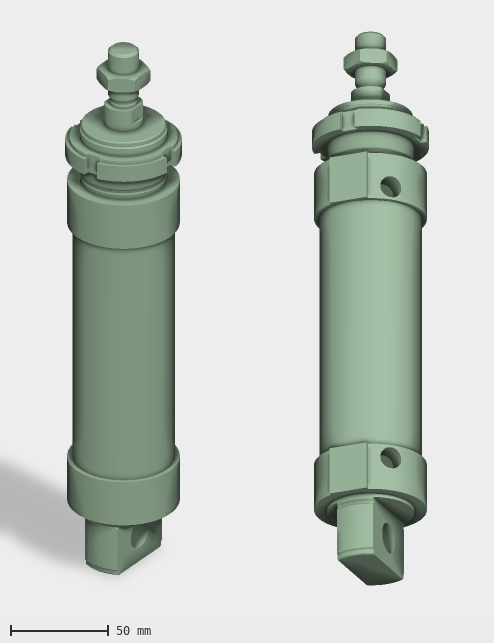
import cadquery as cq
import math

TOTAL_HEIGHT = 295.2
QUARTER_TURN = 90

TUBE_DIA = 52.5
COLLAR_DIA = 58.0
COLLAR_LENGTH = 25.0
LOWER_COLLAR_BASE = 33.0
UPPER_COLLAR_TOP = 219.0
NECK_DIA = 45.0
NECK_TOP = 251.8
NECK_RELIEF_DIA = 43.5
NECK_RELIEF_LENGTH = 2.7
NECK_BEVEL = 0.5
GROOVE_OFFSET = 2.7
GROOVE_FLOOR_WIDTH = 1.5

PAD_WIDTH = 20.7
PAD_REACH = COLLAR_DIA / 2

PORT_DIA = 11.5
PORT_DEPTH = 11.8
PORT_EDGE_DISTANCE = 7.0
PORT_ANGLE = 135

TONGUE_THICKNESS = 20.0
TONGUE_TOP = LOWER_COLLAR_BASE - 1.8
TONGUE_HOLE_DIA = 16.0
TONGUE_HOLE_HEIGHT = 16.0

ROD_DIA = 20.0
ROD_TOP = 263.5
ROD_FLAT_BASE = 255.5
ROD_FLAT_WIDTH = 17.0
THREAD_DIA = 16.0
THREAD_TIP_DIA = 13.0
THREAD_CHAMFER_HEIGHT = 1.5
THREAD_BASE = 268.5
UNDERCUT_DIA = 14.0
UNDERCUT_BASE = 265.7
UNDERCUT_TOP = 266.5
SHANK_DIA = 14.5
SHANK_TOP = 265.0

HEX_ACROSS_FLATS = 24.0
HEX_BASE = 275.7
HEX_HEIGHT = 8.0
HEX_FACE_DIA = 24.5
HEX_CHAMFER_ANGLE = 30

RING_DIA = 60.0
RING_BASE = 233.5
RING_HEIGHT = 10.5
RING_STEP_DIA = 55.5
RING_STEP_HEIGHT = 1.8
SLOT_WIDTH = 8.0
SLOT_FLOOR_RADIUS = 26.3


def cylinder(diameter, base, top):
    """Solid cylinder on the Z axis between two heights."""
    return cq.Workplane("XY").workplane(offset=base).circle(diameter / 2).extrude(top - base)


def turned(profile):
    """Solid of revolution about Z from (diameter, height) points that run from end to end."""
    first_height = profile[0][1]
    last_height = profile[-1][1]
    points = [(0, first_height)] + [(diameter / 2, z) for diameter, z in profile] + [(0, last_height)]
    return cq.Workplane("XZ").polyline(points).close().revolve(360, (0, 0, 0), (0, 1, 0))


def collar(base):
    """Round collar with a flat pad on its +Y side."""
    pad = (
        cq.Workplane("XY")
        .workplane(offset=base)
        .center(0, PAD_REACH / 2)
        .rect(PAD_WIDTH, PAD_REACH)
        .extrude(COLLAR_LENGTH)
    )
    return cylinder(COLLAR_DIA, base, base + COLLAR_LENGTH).union(pad)


def threaded_end(direction, collar_face, end):
    """Grooved and chamfered round end that leaves a collar face upward (1) or downward (-1)."""
    flank = (NECK_DIA - NECK_RELIEF_DIA) / 2
    floor_start = GROOVE_OFFSET + flank
    floor_end = floor_start + GROOVE_FLOOR_WIDTH
    length = abs(end - collar_face)
    outline = [
        (NECK_DIA, 0),
        (NECK_DIA, GROOVE_OFFSET),
        (NECK_RELIEF_DIA, floor_start),
        (NECK_RELIEF_DIA, floor_end),
        (NECK_DIA, floor_end + flank),
        (NECK_DIA, length - NECK_RELIEF_LENGTH - flank),
        (NECK_RELIEF_DIA, length - NECK_RELIEF_LENGTH),
        (NECK_RELIEF_DIA, length - NECK_BEVEL),
        (NECK_RELIEF_DIA - 2 * NECK_BEVEL, length),
    ]
    profile = [(diameter, collar_face + direction * distance) for diameter, distance in outline]
    return turned(profile)


def tongue():
    """Lower threaded end cut to two parallel flats and cross-drilled along X."""
    slab = cq.Workplane("XY").box(TONGUE_THICKNESS, NECK_DIA, TONGUE_TOP, centered=(True, True, False))
    root = cylinder(NECK_DIA, TONGUE_TOP, LOWER_COLLAR_BASE)
    pin_hole = (
        cq.Workplane("YZ")
        .center(0, TONGUE_HOLE_HEIGHT)
        .circle(TONGUE_HOLE_DIA / 2)
        .extrude(NECK_DIA, both=True)
    )
    return threaded_end(-1, LOWER_COLLAR_BASE, 0).intersect(slab.union(root)).cut(pin_hole)


def port(height):
    """Radial port cutter at the given height."""
    return (
        cq.Workplane("YZ")
        .workplane(offset=COLLAR_DIA / 2 - PORT_DEPTH)
        .center(0, height)
        .circle(PORT_DIA / 2)
        .extrude(COLLAR_DIA)
        .rotate((0, 0, 0), (0, 0, 1), PORT_ANGLE)
    )


def make_housing():
    """Tube with both collars, threaded neck, clevis tongue and ports."""
    upper_collar_base = UPPER_COLLAR_TOP - COLLAR_LENGTH
    lower_collar_top = LOWER_COLLAR_BASE + COLLAR_LENGTH
    housing = (
        cylinder(TUBE_DIA, lower_collar_top, upper_collar_base)
        .union(collar(LOWER_COLLAR_BASE))
        .union(collar(upper_collar_base))
        .union(threaded_end(1, UPPER_COLLAR_TOP, NECK_TOP))
        .union(tongue())
    )
    for height in (upper_collar_base + PORT_EDGE_DISTANCE, lower_collar_top - PORT_EDGE_DISTANCE):
        housing = housing.cut(port(height))
    return housing


def make_rod():
    """Rod standing on the neck, with wrench flats facing X and a threaded tip."""
    rod = turned([
        (ROD_DIA, NECK_TOP),
        (ROD_DIA, ROD_TOP),
        (SHANK_DIA, ROD_TOP),
        (SHANK_DIA, SHANK_TOP),
        (UNDERCUT_DIA, UNDERCUT_BASE),
        (UNDERCUT_DIA, UNDERCUT_TOP),
        (THREAD_DIA, THREAD_BASE),
        (THREAD_DIA, TOTAL_HEIGHT - THREAD_CHAMFER_HEIGHT),
        (THREAD_TIP_DIA, TOTAL_HEIGHT),
    ])
    flat_reach = ROD_DIA
    for side in (-1, 1):
        flat_cutter = (
            cq.Workplane("XY")
            .workplane(offset=ROD_FLAT_BASE)
            .center(side * (ROD_FLAT_WIDTH + flat_reach) / 2, 0)
            .rect(flat_reach, 2 * ROD_DIA)
            .extrude(ROD_TOP - ROD_FLAT_BASE)
        )
        rod = rod.cut(flat_cutter)
    return rod


def make_hex_nut():
    """Hexagon nut with corners along Y, chamfered at both faces."""
    across_corners = HEX_ACROSS_FLATS / math.cos(math.pi / 6)
    corner_drop = (across_corners - HEX_FACE_DIA) / 2 * math.tan(math.radians(HEX_CHAMFER_ANGLE))
    top = HEX_BASE + HEX_HEIGHT
    blank = (
        cq.Workplane("XY")
        .workplane(offset=HEX_BASE)
        .polygon(6, across_corners)
        .extrude(HEX_HEIGHT)
        .rotate((0, 0, 0), (0, 0, 1), QUARTER_TURN)
    )
    envelope = turned([
        (HEX_FACE_DIA, HEX_BASE),
        (across_corners, HEX_BASE + corner_drop),
        (across_corners, top - corner_drop),
        (HEX_FACE_DIA, top),
    ])
    return blank.intersect(envelope).cut(cylinder(THREAD_DIA, HEX_BASE, top))


def make_ring_nut():
    """Round nut with four wrench slots and a stepped upper rim."""
    top = RING_BASE + RING_HEIGHT
    ring = turned([
        (RING_DIA, RING_BASE),
        (RING_DIA, top - RING_STEP_HEIGHT),
        (RING_STEP_DIA, top - RING_STEP_HEIGHT),
        (RING_STEP_DIA, top),
    ]).cut(cylinder(NECK_DIA, RING_BASE, top))
    slot = cq.Workplane("XY").box(RING_DIA, SLOT_WIDTH, RING_HEIGHT, centered=(False, True, False))
    slot = slot.translate((SLOT_FLOOR_RADIUS, 0, RING_BASE))
    for quarter in range(4):
        ring = ring.cut(slot.rotate((0, 0, 0), (0, 0, 1), QUARTER_TURN * quarter))
    return ring


housing = make_housing()
rod = make_rod()
hex_nut = make_hex_nut()
ring_nut = make_ring_nut()

result = cq.Compound.makeCompound([housing.val(), rod.val(), hex_nut.val(), ring_nut.val()])